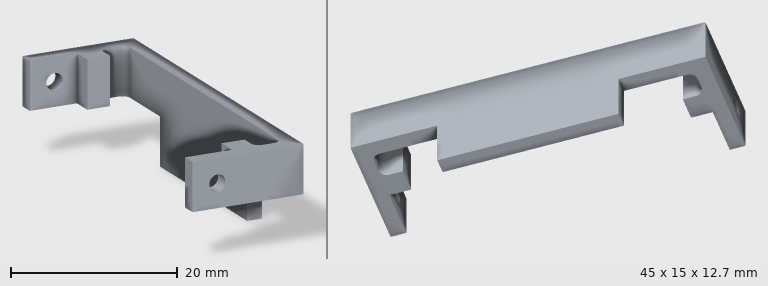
import cadquery as cq

length = 45.0
depth = 14.97
total_height = 12.7
band_height = total_height / 2

back_thickness = 2.0
arm_thickness = 2.0
inner_length = length - 2 * arm_thickness

lug_reach = 2.75
lug_back = 5.55
lug_thickness = 3.08
lug_front = lug_back + lug_thickness
lug_gap = inner_length - 2 * lug_reach

corner_radius = 1.0

tab_width = 23.0

hole_diameter = 2.2
hole_from_back = 11.62


def centred_block(width, back, front, height):
    """Block centred in X, spanning two distances from the back face, hanging from Z = 0."""
    return (
        cq.Workplane("XY")
        .box(width, front - back, height, centered=(True, False, False))
        .translate((0, -front, -height))
    )


def make_band():
    """U-shaped band whose opening narrows between the two lugs."""
    band = centred_block(length, 0, depth, band_height)
    rear_space = centred_block(inner_length, back_thickness, lug_back, band_height)
    rear_space = rear_space.edges("|Z").fillet(corner_radius)
    lug_space = centred_block(lug_gap, lug_back, lug_front, band_height)
    front_space = centred_block(inner_length, lug_front, depth, band_height)
    return band.cut(rear_space).cut(lug_space).cut(front_space)


def make_tab():
    """Flat tab continuing the back wall downward."""
    return centred_block(tab_width, 0, back_thickness, total_height)


def make_cross_hole():
    """Round cutter along X through both arms at mid-height of the band."""
    return (
        cq.Workplane("YZ")
        .center(-hole_from_back, -band_height / 2)
        .circle(hole_diameter / 2)
        .extrude(length / 2, both=True)
    )


result = make_band().union(make_tab()).cut(make_cross_hole())